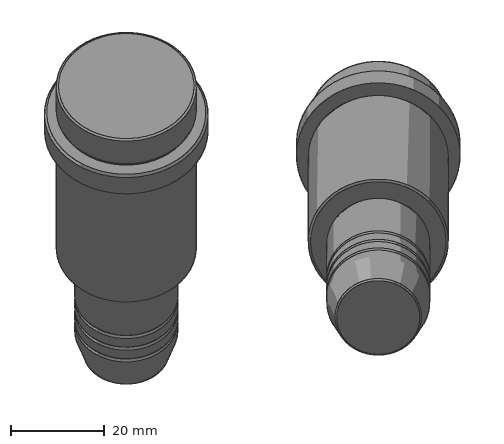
import cadquery as cq
import math

length = 90.0

flange_diameter = 35.0
body_diameter = 30.0
stem_diameter = 22.05

cap_height = 8.0
cap_groove_height = 1.0
flange_height = 6.0
body_height = 40.0
stem_neck_height = 1.0
stem_height = 27.0

edge_break = 0.5
edge_break_height = 0.25

ring_groove_count = 3
ring_groove_pitch = 4.0
first_groove_below_neck = 15.0

taper_angle = 15.0
tip_chamfer = 0.4

flange_radius = flange_diameter / 2
body_radius = body_diameter / 2
stem_radius = stem_diameter / 2
relief_radius = body_radius - edge_break

cap_bottom = length - cap_height
flange_top = cap_bottom - cap_groove_height
flange_bottom = flange_top - flange_height
body_bottom = flange_bottom - body_height
stem_top = body_bottom - stem_neck_height
taper_top = stem_top - stem_height
tip_radius = stem_radius - (taper_top - tip_chamfer) * math.tan(math.radians(taper_angle))


def turned(outline):
    """Revolve a (radius, height) outline about the Z axis."""
    return cq.Workplane("XZ").polyline(outline).close().revolve(360, (0, 0, 0), (0, 1, 0))


def ring_groove(top):
    """V-shaped ring cutter whose upper edge on the stem lies at the given height."""
    return turned([
        (stem_radius, top),
        (stem_radius - edge_break, top - edge_break),
        (stem_radius, top - 2 * edge_break),
    ])


result = turned([
    (0, length),
    (body_radius - edge_break, length),
    (body_radius, length - edge_break_height),
    (body_radius, cap_bottom),
    (relief_radius, cap_bottom - edge_break),
    (relief_radius, flange_top),
    (flange_radius - edge_break, flange_top),
    (flange_radius, flange_top - edge_break),
    (flange_radius, flange_bottom),
    (relief_radius, flange_bottom),
    (relief_radius, flange_bottom - edge_break),
    (body_radius, flange_bottom - 2 * edge_break),
    (body_radius, body_bottom + edge_break_height),
    (body_radius - edge_break, body_bottom),
    (stem_radius - edge_break, body_bottom),
    (stem_radius - edge_break, stem_top),
    (stem_radius, stem_top),
    (stem_radius, taper_top),
    (tip_radius, tip_chamfer),
    (tip_radius - tip_chamfer, 0),
    (0, 0),
])

for index in range(ring_groove_count):
    groove_top = stem_top - first_groove_below_neck - index * ring_groove_pitch
    result = result.cut(ring_groove(groove_top))